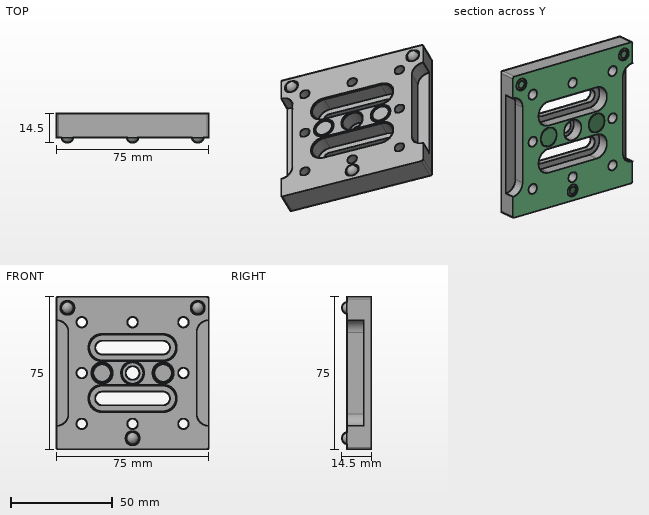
import cadquery as cq

side = 75.0
thickness = 12.0
corner_radius = 1.0
edge_chamfer = 0.5
chamfer_angle = 45.0

pocket_width = 6.0
pocket_length = 52.0
pocket_depth = 8.25

grid_pitch = 25.0
grid_hole_diameter = 5.0

slot_offset = grid_pitch / 2
slot_travel = 30.0
slot_width = 6.6
slot_step_width = 12.5

centre_hole_diameter = slot_width
centre_bore_diameter = 10.4
step_depth = 8.5

magnet_offset = slot_travel / 2
magnet_diameter = 9.5
magnet_height = 5.0
magnet_places = [(-magnet_offset, 0), (magnet_offset, 0)]

ball_offset = 32.0
ball_diameter = 6.0
ball_protrusion = 2.5
ball_hole_depth = ball_diameter - ball_protrusion
ball_places = [(-ball_offset, ball_offset), (ball_offset, ball_offset), (0, -ball_offset)]


def front_plane():
    """Sketch plane on the front face: local x is X, local y is Z, negative extrusion goes into the plate."""
    return cq.Workplane("XZ")


def mouth_flare(diameter):
    """Cone that widens a round hole by the edge chamfer at the front face."""
    return cq.Solid.makeCone(
        diameter / 2 + edge_chamfer,
        diameter / 2,
        edge_chamfer,
        pnt=cq.Vector(0, 0, 0),
        dir=cq.Vector(0, 1, 0),
    )


def round_recess(diameter, depth):
    """Blind round hole at the origin with a chamfered mouth."""
    return front_plane().circle(diameter / 2).extrude(-depth).union(mouth_flare(diameter))


def slot_outline(width):
    """Full-round slot along X, centred on the origin of the front face."""
    return front_plane().slot2D(slot_travel + width, width)


def stepped_slot():
    """Through slot with a wider chamfered step at the front, centred on the origin."""
    through = slot_outline(slot_width).extrude(-thickness)
    step = slot_outline(slot_step_width).extrude(-step_depth)
    flare = slot_outline(slot_step_width + 2 * edge_chamfer).extrude(-edge_chamfer, taper=chamfer_angle)
    return through.union(step).union(flare)


def side_pocket(direction):
    """Pocket at the -X (direction -1) or +X (direction 1) side, inner corners rounded to its full width."""
    block = (
        front_plane()
        .center(direction * side / 2, 0)
        .rect(2 * pocket_width, pocket_length)
        .extrude(-pocket_depth)
    )
    inner_side = ">X" if direction < 0 else "<X"
    return block.faces(inner_side).edges("|Y").fillet(pocket_width)


def make_plate():
    """Square plate with side pockets, slots, holes and the seats of the other bodies."""
    plate = front_plane().rect(side, side).extrude(-thickness).edges("|Y").fillet(corner_radius)
    for direction in (-1, 1):
        plate = plate.cut(side_pocket(direction))

    grid = (-grid_pitch, 0, grid_pitch)
    grid_places = [(x, z) for x in grid for z in grid if (x, z) != (0, 0)]
    grid_holes = front_plane().pushPoints(grid_places).circle(grid_hole_diameter / 2).extrude(-thickness)
    plate = plate.cut(grid_holes)

    for z in (-slot_offset, slot_offset):
        plate = plate.cut(stepped_slot().translate((0, 0, z)))

    plate = plate.cut(front_plane().circle(centre_hole_diameter / 2).extrude(-thickness))
    plate = plate.cut(round_recess(centre_bore_diameter, step_depth))

    for x, z in magnet_places:
        plate = plate.cut(round_recess(magnet_diameter, magnet_height).translate((x, 0, z)))
    for x, z in ball_places:
        plate = plate.cut(round_recess(ball_diameter, ball_hole_depth).translate((x, 0, z)))
    return plate


def make_magnet(x, z):
    """Disc magnet with a chamfered front rim."""
    disc = front_plane().center(x, z).circle(magnet_diameter / 2).extrude(-magnet_height)
    return disc.faces("<Y").chamfer(edge_chamfer)


def make_ball(x, z):
    """Ball standing proud of the front face by its protrusion."""
    centre_depth = ball_diameter / 2 - ball_protrusion
    return cq.Workplane("XY").sphere(ball_diameter / 2).translate((x, centre_depth, z))


plate = make_plate()
magnets = [make_magnet(x, z).val() for x, z in magnet_places]
balls = [make_ball(x, z).val() for x, z in ball_places]
result = cq.Compound.makeCompound([plate.val(), *magnets, *balls])